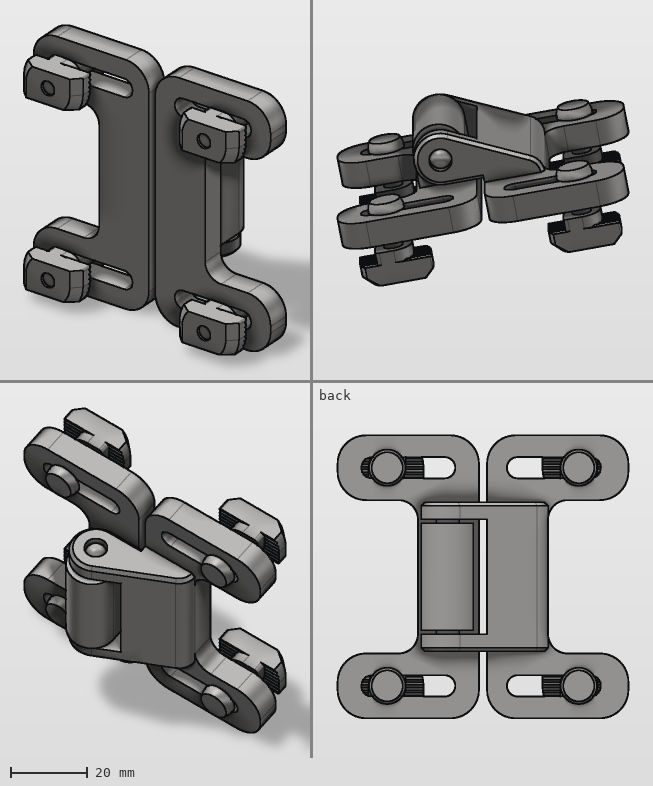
import cadquery as cq
import math

edge_tolerance = 0.01

plate_thickness = 7.0
leaf_width = 37.0
leaf_height = 74.0
leaf_gap = 2.05
web_width = 16.0
arm_height = 17.0
outer_corner_radius = 7.5
inner_corner_radius = 5.0
slot_width = 5.5
slot_length = 24.5
left_slot_margin = 5.25
right_slot_margin = 6.25

inner_edge_x = leaf_gap / 2
outer_edge_x = inner_edge_x + leaf_width
web_edge_x = inner_edge_x + web_width
arm_z = (leaf_height - arm_height) / 2

pin_x = 9.15
pin_y = 15.0
pin_diameter = 6.0
hinge_radius = 7.0
knuckle_height = 16.25
knuckle_width = 28.0
knuckle_setback = 1.5
fork_width = 39.0
fork_opening = 30.0
fork_slope = math.radians(25.5)
fork_chamfer = 1.0

screw_edge_distance = 13.0
shank_diameter = 5.0
thread_diameter = 4.2
screw_length = 18.0
head_radius = 4.75
head_middle_radius = 4.6
head_top_radius = 4.05
head_height = 2.75

screw_x = outer_edge_x - screw_edge_distance

nut_gap = 2.95
neck_height = 3.0
nut_body_height = 5.85
nut_length = 19.0
nut_width = 9.8
nut_chamfer = 2.5
nut_corner_radius = 0.4
neck_corner_radius = 1.1
tooth_pitch = 1.385
tooth_depth = 0.5
tooth_groove_count = 7
lowest_groove_z = -4.59

neck_top_y = -nut_gap
shoulder_y = neck_top_y - neck_height
nut_bottom_y = shoulder_y - nut_body_height


def front_plane(y):
    """Workplane in X and Z at the given Y; extrusions from it go toward -Y."""
    return cq.Workplane("XZ", origin=(0, y, 0))


def make_plate(side, slot_margin):
    """C-shaped plate with a slot in each arm; side is -1 for the left leaf and +1 for the right."""
    center_x = side * (inner_edge_x + outer_edge_x) / 2
    window_center_x = side * (web_edge_x + outer_edge_x) / 2
    window_height = leaf_height - 2 * arm_height
    plate = (
        front_plane(plate_thickness)
        .center(center_x, 0)
        .rect(leaf_width, leaf_height)
        .extrude(plate_thickness)
    )
    window = (
        front_plane(plate_thickness)
        .center(window_center_x, 0)
        .rect(leaf_width - web_width, window_height)
        .extrude(plate_thickness)
    )
    plate = plate.cut(window)

    def beside_web(edge):
        return math.isclose(edge.Center().x, side * web_edge_x, abs_tol=edge_tolerance)

    plate = plate.edges("|Y").filter(lambda edge: not beside_web(edge)).fillet(outer_corner_radius)
    plate = plate.edges("|Y").filter(beside_web).fillet(inner_corner_radius)

    slot_x = side * (inner_edge_x + slot_margin + slot_length / 2)
    slots = (
        front_plane(plate_thickness)
        .pushPoints([(slot_x, -arm_z), (slot_x, arm_z)])
        .slot2D(slot_length, slot_width)
        .extrude(plate_thickness)
    )
    return plate.cut(slots)


def make_pin():
    """Hinge pin with a hemispherical end level with each side of the fork."""
    radius = pin_diameter / 2
    half_length = fork_width / 2
    straight_end = half_length - radius
    return (
        cq.Workplane("XY")
        .moveTo(0, -half_length)
        .radiusArc((radius, -straight_end), -radius)
        .lineTo(radius, straight_end)
        .radiusArc((0, half_length), -radius)
        .close()
        .revolve(360, (0, 0, 0), (0, 1, 0))
        .rotate((0, 0, 0), (1, 0, 0), 90)
        .translate((pin_x, pin_y, 0))
    )


def make_fork():
    """Sloped block on the left plate, opening into two chamfered cheeks around the pin."""
    sine = math.sin(fork_slope)
    cosine = math.cos(fork_slope)
    slope_top_x = pin_x - hinge_radius * sine
    slope_top_y = pin_y + hinge_radius * cosine
    slope_y_at_web_edge = slope_top_y - (slope_top_x + web_edge_x) * math.tan(fork_slope)
    toe_radius = (slope_y_at_web_edge - plate_thickness) * cosine / (1 - sine)
    slope_bottom_x = -web_edge_x + toe_radius * (1 - sine)
    slope_bottom_y = plate_thickness + toe_radius * cosine
    cheek_bottom_y = pin_y - hinge_radius
    foot_y = plate_thickness / 2
    fork = (
        cq.Workplane("XY", origin=(0, 0, -fork_width / 2))
        .moveTo(-web_edge_x, foot_y)
        .lineTo(-inner_edge_x, foot_y)
        .lineTo(-inner_edge_x, cheek_bottom_y)
        .lineTo(pin_x, cheek_bottom_y)
        .threePointArc((pin_x + hinge_radius, pin_y), (slope_top_x, slope_top_y))
        .lineTo(slope_bottom_x, slope_bottom_y)
        .radiusArc((-web_edge_x, plate_thickness), -toe_radius)
        .close()
        .extrude(fork_width)
    )
    foot_middle_y = (foot_y + cheek_bottom_y) / 2

    def takes_chamfer(edge):
        center = edge.Center()
        return center.y > foot_middle_y or center.x < -web_edge_x + edge_tolerance

    fork = fork.faces("<Z or >Z").edges().filter(takes_chamfer).chamfer(fork_chamfer)
    opening = (
        cq.Workplane("XY")
        .moveTo(-inner_edge_x, plate_thickness)
        .lineTo(pin_x + hinge_radius, plate_thickness)
        .lineTo(pin_x + hinge_radius, pin_y + hinge_radius)
        .lineTo(-inner_edge_x, pin_y + hinge_radius)
        .close()
        .extrude(fork_opening / 2, both=True)
    )
    pin_hole = (
        cq.Workplane("XY", origin=(pin_x, pin_y, 0))
        .circle(pin_diameter / 2)
        .extrude(fork_width / 2, both=True)
    )
    return fork.cut(opening).cut(pin_hole)


def make_knuckle():
    """Round-topped block on the right plate, between the cheeks of the fork."""
    left_x = inner_edge_x + knuckle_setback
    right_x = pin_x + hinge_radius
    crown_radius = (right_x - left_x) / 2
    top_y = plate_thickness + knuckle_height
    crown_y = top_y - crown_radius
    return (
        cq.Workplane("XY")
        .moveTo(left_x, plate_thickness)
        .lineTo(right_x, plate_thickness)
        .lineTo(right_x, crown_y)
        .threePointArc((left_x + crown_radius, top_y), (left_x, crown_y))
        .close()
        .extrude(knuckle_width / 2, both=True)
    )


def make_left_leaf():
    return make_plate(-1, left_slot_margin).union(make_fork())


def make_right_leaf():
    return make_plate(1, right_slot_margin).union(make_knuckle()).union(make_pin())


def make_screw(x, z):
    """Round-headed screw through a slot, its thinner threaded end inside the nut."""
    shank_radius = shank_diameter / 2
    thread_radius = thread_diameter / 2
    head_y = plate_thickness
    tip_y = head_y - screw_length
    return (
        cq.Workplane("XY")
        .moveTo(0, tip_y)
        .lineTo(thread_radius, tip_y)
        .lineTo(thread_radius, neck_top_y)
        .lineTo(shank_radius, neck_top_y)
        .lineTo(shank_radius, head_y)
        .lineTo(head_radius, head_y)
        .threePointArc(
            (head_middle_radius, head_y + head_height / 2),
            (head_top_radius, head_y + head_height),
        )
        .lineTo(0, head_y + head_height)
        .close()
        .revolve(360, (0, 0, 0), (0, 1, 0))
        .translate((x, 0, z))
    )


def quarter_turn_prism(top_y, height, radius, side):
    """Cylinder along Y with two opposite corners squared off, one of them at (side * X, +Z)."""
    return (
        front_plane(top_y)
        .moveTo(-side * radius, 0)
        .lineTo(-side * radius, -radius)
        .lineTo(0, -radius)
        .radiusArc((side * radius, 0), -side * radius)
        .lineTo(side * radius, radius)
        .lineTo(0, radius)
        .radiusArc((-side * radius, 0), -side * radius)
        .close()
        .extrude(height)
    )


def make_nut_body():
    """Chamfered body that turns into its slot, cut to width, with serrated shoulders."""
    body = quarter_turn_prism(shoulder_y, nut_body_height, nut_length / 2, side=1)
    body = body.faces("<Y").chamfer(nut_chamfer)
    slab = front_plane(shoulder_y).rect(nut_length, nut_width).extrude(nut_body_height)
    body = body.intersect(slab)
    body = body.edges("|Y").edges("<(1,0,1) or >(1,0,1)").fillet(nut_corner_radius)
    groove = (
        cq.Workplane("YZ")
        .moveTo(shoulder_y, -tooth_pitch / 2)
        .lineTo(shoulder_y - tooth_depth, 0)
        .lineTo(shoulder_y, tooth_pitch / 2)
        .close()
        .extrude(nut_length / 2, both=True)
    )
    for index in range(tooth_groove_count):
        body = body.cut(groove.translate((0, 0, lowest_groove_z + index * tooth_pitch)))
    return body


def make_nut(x, z):
    """Quarter-turn T-slot nut with a through hole for the screw."""
    neck = quarter_turn_prism(neck_top_y, neck_height + tooth_depth, nut_width / 2, side=-1)
    neck = neck.edges("|Y").edges("<(1,0,-1) or >(1,0,-1)").fillet(neck_corner_radius)
    hole = (
        front_plane(neck_top_y)
        .circle(thread_diameter / 2)
        .extrude(neck_top_y - nut_bottom_y)
    )
    return make_nut_body().union(neck).cut(hole).translate((x, 0, z))


left_leaf = make_left_leaf()
right_leaf = make_right_leaf()
fastener_places = [(x, z) for x in (-screw_x, screw_x) for z in (-arm_z, arm_z)]
screws = [make_screw(x, z) for x, z in fastener_places]
nuts = [make_nut(x, z) for x, z in fastener_places]

result = cq.Compound.makeCompound(
    [left_leaf.val(), right_leaf.val()]
    + [screw.val() for screw in screws]
    + [nut.val() for nut in nuts]
)